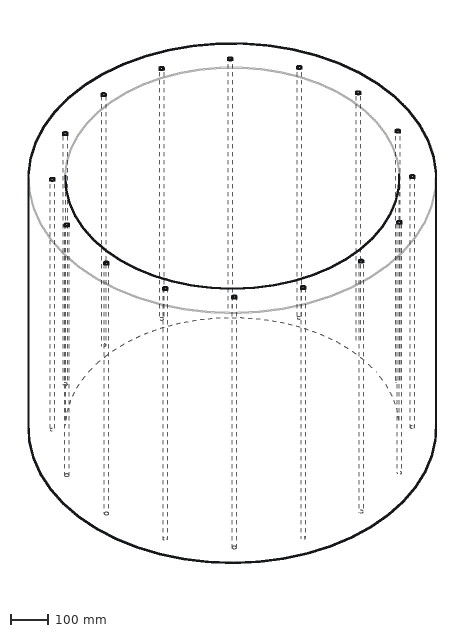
import cadquery as cq

outer_diameter = 1100.0
inner_diameter = 900.0
height = 900.0
edge_radius = 2.0

hole_count = 16
hole_diameter = 12.0
hole_circle_diameter = 970.0
first_hole_angle = 360 / hole_count / 2


def make_tube():
    """Tube standing on Z = 0 with its inner and outer rim edges rounded."""
    tube = (
        cq.Workplane("XY")
        .circle(outer_diameter / 2)
        .circle(inner_diameter / 2)
        .extrude(height)
    )
    return tube.edges("%CIRCLE").fillet(edge_radius)


def make_hole_cutters():
    """Full-height cylinders that cut the ring of holes."""
    return (
        cq.Workplane("XY")
        .polarArray(hole_circle_diameter / 2, first_hole_angle, 360, hole_count)
        .circle(hole_diameter / 2)
        .extrude(height)
    )


result = make_tube().cut(make_hole_cutters())